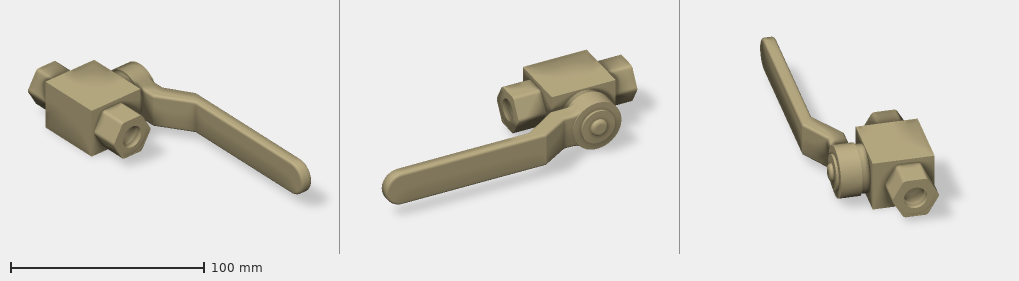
import cadquery as cq
import math


BODY_LENGTH = 37.0
BODY_DEPTH = 28.0
BODY_BOTTOM = -14.0
BODY_TOP = 19.0

OVERALL_PORT_LENGTH = 69.0
HEX_ACROSS_FLATS = 22.0
HEX_CORNER_RADIUS = 2.3
FACE_RECESS_DIAMETER = 21.2
FACE_RECESS_DEPTH = 0.2

PORT_DIAMETER = 12.4
PORT_DEPTH = 3.0
PORT_STEP_LENGTH = 0.5
DRILL_DIAMETER = 11.0
DRILL_DEPTH = 14.0
DRILL_POINT_ANGLE = 118.0

COLLAR_DIAMETER = 26.0
HUB_DIAMETER = 28.0
HUB_BOTTOM = 23.2
HUB_TOP = 34.6
WASHER_DIAMETER = 19.2
WASHER_TOP = 36.0
BUTTON_DIAMETER = 9.6
BUTTON_TOP = 38.25
BUTTON_EDGE_RADIUS = 2.2

LEVER_TIP_X = 127.01
LEVER_WIDTH = 19.0
LEVER_TOP = 43.73
LEVER_THICKNESS = 6.7
NECK_BOTTOM = 24.3
NECK_TOP = 34.05
TOP_BEND_START_X = 18.7
TOP_BEND_END_X = 34.2
BOTTOM_BEND_START_X = 22.2
BOTTOM_BEND_END_X = 41.1
INNER_BEND_RADIUS = 2.5
LEVER_EDGE_RADIUS = 1.5
HUB_BLEND_RADIUS = 10.0


def stem_disc(diameter, bottom, top):
    """Round disc on the stem axis between two heights."""
    disc = cq.Workplane("XZ", origin=(0, bottom, 0)).circle(diameter / 2)
    return disc.extrude(bottom - top)


def make_body():
    """Rectangular valve body."""
    height = BODY_TOP - BODY_BOTTOM
    centre_y = (BODY_TOP + BODY_BOTTOM) / 2
    return cq.Workplane("XY").box(BODY_LENGTH, height, BODY_DEPTH).translate((0, centre_y, 0))


def make_hex_bar():
    """Hexagonal bar with rounded corners, flats facing up and down, running through both ports."""
    across_corners = HEX_ACROSS_FLATS / math.cos(math.radians(30))
    bar = cq.Workplane("YZ").polygon(6, across_corners).extrude(OVERALL_PORT_LENGTH / 2, both=True)
    return bar.edges("|X").fillet(HEX_CORNER_RADIUS)


def make_port_cutter():
    """Bore of the -X port: face recess, wide bore, tapered step and blind hole with a conical bottom."""
    face_x = -OVERALL_PORT_LENGTH / 2
    recess_x = face_x + FACE_RECESS_DEPTH
    port_x = face_x + PORT_DEPTH
    step_end_x = port_x + PORT_STEP_LENGTH
    drill_x = face_x + DRILL_DEPTH
    drill_radius = DRILL_DIAMETER / 2
    tip_x = drill_x + drill_radius / math.tan(math.radians(DRILL_POINT_ANGLE / 2))
    outline = (
        cq.Workplane("XY")
        .moveTo(face_x, 0)
        .lineTo(face_x, FACE_RECESS_DIAMETER / 2)
        .lineTo(recess_x, FACE_RECESS_DIAMETER / 2)
        .lineTo(recess_x, PORT_DIAMETER / 2)
        .lineTo(port_x, PORT_DIAMETER / 2)
        .lineTo(step_end_x, drill_radius)
        .lineTo(drill_x, drill_radius)
        .lineTo(tip_x, 0)
        .close()
    )
    return outline.revolve(360, (0, 0, 0), (1, 0, 0))


def make_stem_stack():
    """Collar, hub, washer and domed button stacked on top of the body."""
    collar = stem_disc(COLLAR_DIAMETER, BODY_TOP, HUB_BOTTOM)
    hub = stem_disc(HUB_DIAMETER, HUB_BOTTOM, HUB_TOP)
    washer = stem_disc(WASHER_DIAMETER, HUB_TOP, WASHER_TOP)
    button = stem_disc(BUTTON_DIAMETER, WASHER_TOP, BUTTON_TOP).faces(">Y").edges().fillet(BUTTON_EDGE_RADIUS)
    return collar.union(hub).union(washer).union(button)


def make_lever():
    """Cranked lever with a rounded tip, blended into the hub and rounded along its edges."""
    hub_radius = HUB_DIAMETER / 2
    half_width = LEVER_WIDTH / 2
    tip_centre_x = LEVER_TIP_X - half_width
    lever_bottom = LEVER_TOP - LEVER_THICKNESS

    blend_centre_z = half_width + HUB_BLEND_RADIUS
    centre_distance = hub_radius + HUB_BLEND_RADIUS
    blend_centre_x = math.sqrt(centre_distance**2 - blend_centre_z**2)
    root_x = blend_centre_x * hub_radius / centre_distance
    root_z = blend_centre_z * hub_radius / centre_distance

    side_profile = (
        cq.Workplane("XY")
        .moveTo(root_x, NECK_BOTTOM)
        .lineTo(BOTTOM_BEND_START_X, NECK_BOTTOM)
        .lineTo(BOTTOM_BEND_END_X, lever_bottom)
        .lineTo(LEVER_TIP_X, lever_bottom)
        .lineTo(LEVER_TIP_X, LEVER_TOP)
        .lineTo(TOP_BEND_END_X, LEVER_TOP)
        .lineTo(TOP_BEND_START_X, NECK_TOP)
        .lineTo(root_x, NECK_TOP)
        .close()
        .extrude(hub_radius, both=True)
    )
    for bend_x, bend_y in ((BOTTOM_BEND_END_X, lever_bottom), (TOP_BEND_START_X, NECK_TOP)):
        bend_edge = cq.selectors.NearestToPointSelector((bend_x, bend_y, 0))
        side_profile = side_profile.edges(bend_edge).fillet(INNER_BEND_RADIUS)

    plan = (
        cq.Workplane("XZ")
        .moveTo(root_x, -root_z)
        .radiusArc((blend_centre_x, -half_width), HUB_BLEND_RADIUS)
        .lineTo(tip_centre_x, -half_width)
        .threePointArc((LEVER_TIP_X, 0), (tip_centre_x, half_width))
        .lineTo(blend_centre_x, half_width)
        .radiusArc((root_x, root_z), HUB_BLEND_RADIUS)
        .close()
        .extrude(-(LEVER_TOP + LEVER_THICKNESS))
    )
    lever = side_profile.intersect(plan)
    rim_edges = lever.edges("not(|Z or |Y or <X)")
    return rim_edges.fillet(LEVER_EDGE_RADIUS)


port_cutter = make_port_cutter()
valve = make_body().union(make_hex_bar()).union(make_stem_stack())
valve = valve.cut(port_cutter).cut(port_cutter.mirror("YZ"))
result = valve.union(make_lever())